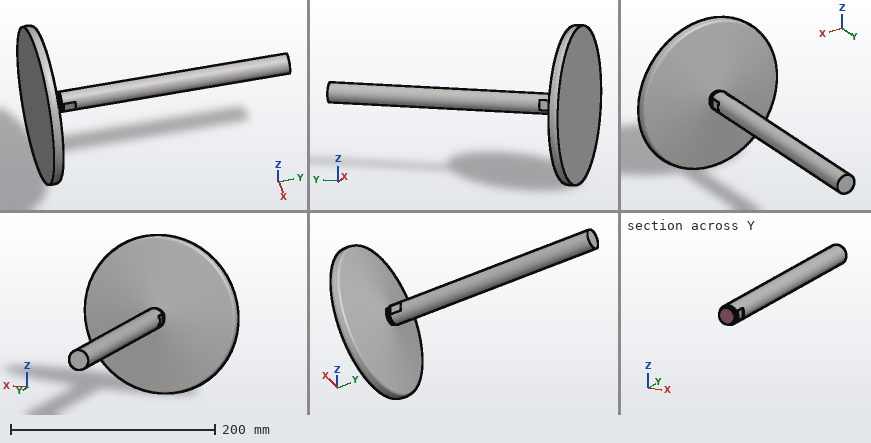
import cadquery as cq

total_length = 254.0
foot_diameter = 158.0
stem_diameter = 20.0

rim_height = 3.8
base_radius = foot_diameter / 2 - 0.5
shoulder_height = 7.0
shoulder_radius = base_radius
cone_start_height = 10.2
cone_start_radius = 76.0
cone_top_height = 20.8
cone_top_radius = 10.0

groove_height = 22.0
groove_radius = 8.1
collar_start = 23.0
collar_radius = 9.0

stem_start = 24.6
flat_start = 26.2
flat_length = 12.0
across_flats = 17.3


def revolve_about_y(profile):
    """Turn a closed half-profile in the XY plane about the Y axis."""
    return profile.close().revolve(360, (0, 0, 0), (0, 1, 0))


def make_foot():
    """Conical foot plate with a slightly crowned rim and a rounded shoulder."""
    profile = (
        cq.Workplane("XY")
        .lineTo(0, cone_top_height)
        .lineTo(cone_top_radius, cone_top_height)
        .lineTo(cone_start_radius, cone_start_height)
        .tangentArcPoint((shoulder_radius, shoulder_height), relative=False)
        .lineTo(foot_diameter / 2, rim_height)
        .lineTo(base_radius, 0)
    )
    return revolve_about_y(profile)


def make_stem():
    """Round stem with a grooved neck that stands on the foot."""
    stem_radius = stem_diameter / 2
    profile = (
        cq.Workplane("XY")
        .moveTo(0, cone_top_height)
        .lineTo(collar_radius, cone_top_height)
        .lineTo(groove_radius, groove_height)
        .lineTo(collar_radius, collar_start)
        .lineTo(groove_radius, stem_start)
        .lineTo(stem_radius, stem_start)
        .lineTo(stem_radius, total_length)
        .lineTo(0, total_length)
    )
    stem = revolve_about_y(profile)
    for side in (-1, 1):
        stem = stem.cut(flat_cutter(side))
    return stem


def flat_cutter(side):
    """Block that removes the stem material outside one wrench flat."""
    center_x = side * (across_flats + stem_diameter) / 2
    center_y = flat_start + flat_length / 2
    return (
        cq.Workplane("XY")
        .box(stem_diameter, flat_length, stem_diameter)
        .translate((center_x, center_y, 0))
    )


foot = make_foot()
stem = make_stem()
result = cq.Compound.makeCompound([foot.val(), stem.val()])